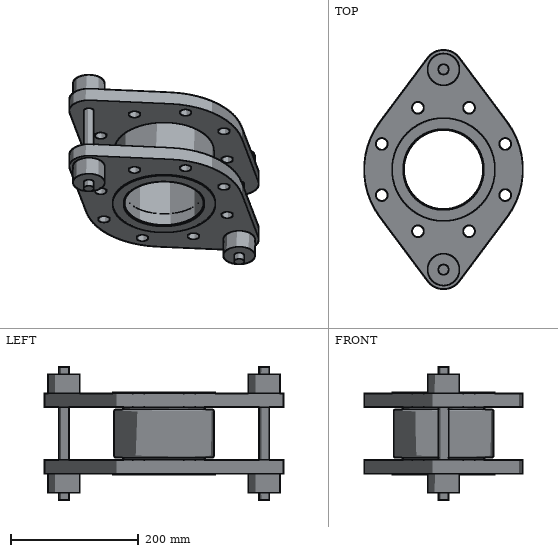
import cadquery as cq
import math

overall_length = 376.8
plate_width = 250.0
side_radius = plate_width / 2
end_radius = 31.0
rod_offset = overall_length / 2 - end_radius
plate_inner_z = 41.5
plate_thickness = 22.0
plate_outer_z = plate_inner_z + plate_thickness

bolt_count = 8
bolt_circle_radius = 105.0
bolt_hole_diameter = 18.0

body_radius = 78.7
body_half_height = 75.7 / 2
body_edge_fillet = 3.0
neck_radius = 64.0
neck_fillet = 3.0
seal_radius = 81.0
seal_face_z = 65.0
bore_radius = 62.0
seal_opening_radius = 63.5

rod_diameter = 16.2
rod_half_length = 210.0 / 2
nut_diameter = 50.0
nut_outer_z = 93.5


def make_plate(base_z):
    """Flange plate with its ring of bolt holes, rising from base_z."""
    tangent_angle = math.asin((side_radius - end_radius) / rod_offset)
    cosine = math.cos(tangent_angle)
    sine = math.sin(tangent_angle)
    side_x = side_radius * cosine
    side_y = side_radius * sine
    end_x = end_radius * cosine
    end_y = rod_offset + end_radius * sine
    tip_y = overall_length / 2
    outline = (
        cq.Workplane("XY", origin=(0, 0, base_z))
        .moveTo(side_x, -side_y)
        .threePointArc((side_radius, 0), (side_x, side_y))
        .lineTo(end_x, end_y)
        .threePointArc((0, tip_y), (-end_x, end_y))
        .lineTo(-side_x, side_y)
        .threePointArc((-side_radius, 0), (-side_x, -side_y))
        .lineTo(-end_x, -end_y)
        .threePointArc((0, -tip_y), (end_x, -end_y))
        .close()
    )
    first_hole_angle = 180 / bolt_count
    holes = (
        cq.Workplane("XY", origin=(0, 0, base_z))
        .polarArray(bolt_circle_radius, first_hole_angle, 360, bolt_count)
        .circle(bolt_hole_diameter / 2)
        .extrude(plate_thickness)
    )
    return outline.extrude(plate_thickness).cut(holes)


def make_cylinder(radius, y, bottom_z, top_z):
    """Upright cylinder centred on x = 0."""
    return cq.Workplane("XY", origin=(0, y, bottom_z)).circle(radius).extrude(top_z - bottom_z)


def make_body():
    """Hollow rounded barrel with a sealing face at each end, open along Z."""
    barrel = make_cylinder(body_radius, 0, -body_half_height, body_half_height)
    barrel = barrel.edges("%CIRCLE").fillet(body_edge_fillet)
    neck = make_cylinder(neck_radius, 0, -plate_outer_z, plate_outer_z)
    body = barrel.union(neck)

    selection_margin = 0.5
    root_radius = neck_radius + selection_margin
    root_z = body_half_height + selection_margin
    root_edges = cq.selectors.BoxSelector(
        (-root_radius, -root_radius, -root_z), (root_radius, root_radius, root_z), boundingbox=True
    )
    body = body.edges(root_edges).fillet(neck_fillet)

    bore = make_cylinder(bore_radius, 0, -plate_outer_z, plate_outer_z)
    body = body.cut(bore)

    for bottom_z, top_z in ((plate_outer_z, seal_face_z), (-seal_face_z, -plate_outer_z)):
        seal = make_cylinder(seal_radius, 0, bottom_z, top_z)
        seal_opening = make_cylinder(seal_opening_radius, 0, bottom_z, top_z)
        body = body.union(seal.cut(seal_opening))
    return body


def make_tie_rod(y):
    """Tie rod with a round nut outside each plate."""
    rod = make_cylinder(rod_diameter / 2, y, -rod_half_length, rod_half_length)
    upper_nut = make_cylinder(nut_diameter / 2, y, plate_outer_z, nut_outer_z)
    lower_nut = make_cylinder(nut_diameter / 2, y, -nut_outer_z, -plate_outer_z)
    return rod.union(upper_nut).union(lower_nut)


result = make_body()

plate_opening = make_cylinder(neck_radius, 0, -plate_outer_z, plate_outer_z)
for plate_base_z in (plate_inner_z, -plate_outer_z):
    result = result.union(make_plate(plate_base_z).cut(plate_opening))

for rod_y in (rod_offset, -rod_offset):
    result = result.union(make_tie_rod(rod_y))